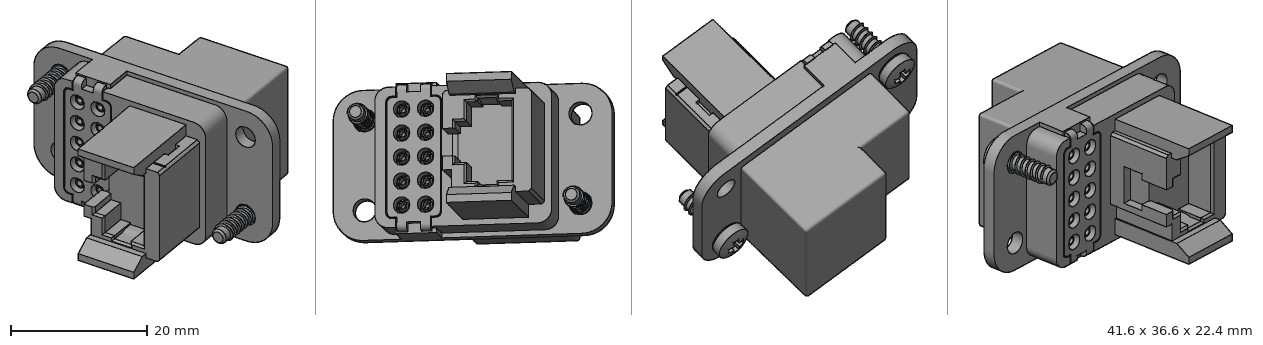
import cadquery as cq
import math


FLANGE_LENGTH = 41.6
FLANGE_HEIGHT = 22.4
FLANGE_THICKNESS = 2.0
FLANGE_RADIUS = 4.5
HOLE_RADIUS = 1.7
HOLE_X = 16.1
HOLE_Z = 6.7

REAR_LEFT = -12.02
REAR_STEP = -2.6
REAR_RIGHT = 13.2
REAR_LOW = 10.85
REAR_HIGH = 16.6
REAR_HEIGHT = 18.9
REAR_DRAFT = 0.5
REAR_EDGE = 0.45

BLOCK_LEFT = -13.5
BLOCK_RIGHT = 12.85
BLOCK_HEIGHT = 20.95
BLOCK_DEPTH = 5.8
BLOCK_RADIUS = 2.05

BRIDGE_LEFT = -10.6
BRIDGE_RIGHT = -4.58
BRIDGE_DEPTH = 4.5
LATCH_LEFT = -10.45
LATCH_RIGHT = -5.08
LATCH_FLOOR_Z = 9.7
LATCH_TOP_Z = 10.95
LATCH_ARM_WIDTH = 1.5
LATCH_ROUND = 0.9

INSERT_LEFT = -11.9
INSERT_RIGHT = -3.58
INSERT_HEIGHT = 18.2
INSERT_RADIUS = 0.9
GROOVE_WIDTH = 0.15
GROOVE_DEPTH = 0.4

CONTACT_PITCH = 3.58
CONTACT_ROWS = 5
CONTACT_COLUMNS = 2
CONTACT_BORE_RADIUS = 1.2
CONTACT_BORE_DEPTH = 2.5
SOCKET_OUTER_RADIUS = 0.87
SOCKET_RIM_RADIUS = 0.65
SOCKET_INNER_RADIUS = 0.45
SOCKET_RECESS = 0.62

JACK_LEFT = -1.4
JACK_RIGHT = 11.8
JACK_TOP = 7.7
JACK_STEP_X = -0.12
JACK_STEP_Z = -4.1
JACK_FRONT = -16.65
JACK_CHAMFER = 0.4

CAVITY_KEY_LEFT = 0.05
CAVITY_LEFT = 1.75
CAVITY_RIGHT = 9.2
CAVITY_HALF_HEIGHT = 6.3
CAVITY_KEY_HALF_HEIGHT = 3.4
NOTCH_LEFT = 3.4
NOTCH_RIGHT = 6.95
NOTCH_HALF_HEIGHT = 6.82
CAVITY_FLOOR = -12.02
CAVITY_BEVEL = 0.35

LEDGE_Z = 6.25
LEDGE_BACK = -13.3
LEDGE_FRONT = -14.35

WINDOW_BACK = -8.4
WINDOW_STEP = -11.85
WINDOW_HEIGHT = 6.1
WINDOW_SLOT_HEIGHT = 4.1

POCKET_RIGHT = 10.15
POCKET_BACK = -8.7
POCKET_FRONT = -11.7
SEAM_Y = -14.7
SEAM_WIDTH = 0.15
SEAM_DEPTH = 0.12

TAB_LEFT = -0.37
TAB_RIGHT = 9.45
TAB_INNER_Z = 6.95
TAB_OUTER_Z = 9.6
TAB_FRONT = -20.0
TAB_TIP_THICKNESS = 1.15
TAB_BEVEL_START = -17.7
TAB_SIDE_DRAFT = 0.12

HEAD_RADIUS = 2.8
HEAD_CYLINDER = 1.7
HEAD_HEIGHT = 2.45
HEAD_BOTTOM_BEVEL = 0.12
DRIVE_LENGTH = 2.83
DRIVE_WIDTH = 1.0
DRIVE_DEPTH = 1.25
CORE_RADIUS = 1.2
SCREW_TIP = -7.5
TIP_BEVEL = 0.35
THREAD_RADIUS = 1.5
THREAD_PITCH = 1.0
THREAD_ROOT_WIDTH = 0.4
THREAD_OVERLAP = 0.1
THREAD_START = -6.25
THREAD_TURNS = 7.5


def front_plane(y):
    """Sketch plane facing -Y: sketch x is X, sketch y is Z."""
    return cq.Workplane("XZ", origin=(0, y, 0))


def box(x_range, y_range, z_range):
    """Box spanning three (low, high) ranges."""
    lows, highs = zip(x_range, y_range, z_range)
    sizes = [high - low for low, high in zip(lows, highs)]
    return cq.Workplane("XY").box(*sizes, centered=False).translate(lows)


def mirrored(shape):
    """The shape together with its mirror image about Z = 0."""
    return shape.union(shape.mirror("XY"))


def flange():
    plate = front_plane(FLANGE_THICKNESS).rect(FLANGE_LENGTH, FLANGE_HEIGHT).extrude(FLANGE_THICKNESS)
    plate = plate.edges("|Y").fillet(FLANGE_RADIUS)
    holes = (
        front_plane(FLANGE_THICKNESS)
        .rect(2 * HOLE_X, 2 * HOLE_Z, forConstruction=True)
        .vertices()
        .circle(HOLE_RADIUS)
        .extrude(FLANGE_THICKNESS)
    )
    return plate.cut(holes)


def rear_block(left, right, back):
    """Drafted block behind the flange, rounded on every edge except those of its base."""
    plane = cq.Workplane("ZX", origin=(0, FLANGE_THICKNESS, 0)).center(0, (left + right) / 2)
    block = plane.rect(REAR_HEIGHT, right - left).extrude(back - FLANGE_THICKNESS, taper=REAR_DRAFT)
    return block.edges("not <Y").fillet(REAR_EDGE)


def rear_body():
    tall = rear_block(REAR_STEP, REAR_RIGHT, REAR_HIGH)
    low_end = (REAR_STEP + REAR_RIGHT) / 2
    low = rear_block(REAR_LEFT, low_end, REAR_LOW)
    return tall.union(low)


def front_block():
    width = BLOCK_RIGHT - BLOCK_LEFT
    middle = (BLOCK_LEFT + BLOCK_RIGHT) / 2
    block = front_plane(0).center(middle, 0).rect(width, BLOCK_HEIGHT).extrude(BLOCK_DEPTH)
    return block.edges("|Y").fillet(BLOCK_RADIUS)


def bridges():
    bridge = box(
        (BRIDGE_LEFT, BRIDGE_RIGHT),
        (-BRIDGE_DEPTH, 0),
        (LATCH_FLOOR_Z, FLANGE_HEIGHT / 2),
    )
    return mirrored(bridge)


def latch_recesses():
    recess = box(
        (LATCH_LEFT, LATCH_RIGHT),
        (-BLOCK_DEPTH, -BRIDGE_DEPTH),
        (LATCH_FLOOR_Z, FLANGE_HEIGHT / 2),
    )
    return mirrored(recess)


def latch_arms():
    first = LATCH_LEFT + GROOVE_WIDTH
    second = LATCH_RIGHT - GROOVE_WIDTH - LATCH_ARM_WIDTH
    arms = cq.Workplane("XY")
    for left in (first, second):
        arm = box(
            (left, left + LATCH_ARM_WIDTH),
            (-BLOCK_DEPTH, -BRIDGE_DEPTH),
            (LATCH_FLOOR_Z, LATCH_TOP_Z),
        )
        arms = arms.add(arm.edges("<Y and >Z").fillet(LATCH_ROUND))
    return mirrored(arms.combine())


def insert_shape(inset):
    """Insert body with a neck reaching both edges of the block, shrunk sideways by inset."""
    middle = (INSERT_LEFT + INSERT_RIGHT) / 2
    width = INSERT_RIGHT - INSERT_LEFT - 2 * inset
    body = front_plane(-BLOCK_DEPTH + GROOVE_DEPTH).center(middle, 0)
    body = body.rect(width, INSERT_HEIGHT - 2 * inset).extrude(GROOVE_DEPTH)
    body = body.edges("|Y").fillet(INSERT_RADIUS - inset)
    neck = box(
        (LATCH_LEFT + inset, LATCH_RIGHT - inset),
        (-BLOCK_DEPTH, -BLOCK_DEPTH + GROOVE_DEPTH),
        (-BLOCK_HEIGHT / 2, BLOCK_HEIGHT / 2),
    )
    return body.union(neck)


def insert_groove():
    return insert_shape(0).cut(insert_shape(GROOVE_WIDTH))


def contact_cutter():
    """Bore around a recessed hollow socket with a bevelled rim, axis along +Y from the origin."""
    rim_bevel = SOCKET_OUTER_RADIUS - SOCKET_RIM_RADIUS
    profile = [
        (0, 0),
        (CONTACT_BORE_RADIUS, 0),
        (CONTACT_BORE_RADIUS, CONTACT_BORE_DEPTH),
        (SOCKET_OUTER_RADIUS, CONTACT_BORE_DEPTH),
        (SOCKET_OUTER_RADIUS, SOCKET_RECESS + rim_bevel),
        (SOCKET_RIM_RADIUS, SOCKET_RECESS),
        (SOCKET_INNER_RADIUS, SOCKET_RECESS),
        (SOCKET_INNER_RADIUS, CONTACT_BORE_DEPTH),
        (0, CONTACT_BORE_DEPTH),
    ]
    return cq.Workplane("XY").polyline(profile).close().revolve(360, (0, 0), (0, 1))


def contact_cutters():
    middle = (INSERT_LEFT + INSERT_RIGHT) / 2
    cutter = contact_cutter()
    cutters = cq.Workplane("XY")
    for column in range(CONTACT_COLUMNS):
        x = middle + (column - (CONTACT_COLUMNS - 1) / 2) * CONTACT_PITCH
        for row in range(CONTACT_ROWS):
            z = (row - (CONTACT_ROWS - 1) / 2) * CONTACT_PITCH
            cutters = cutters.add(cutter.translate((x, -BLOCK_DEPTH, z)))
    return cutters.combine()


def jack_housing():
    outline = [
        (JACK_LEFT, JACK_TOP),
        (JACK_RIGHT, JACK_TOP),
        (JACK_RIGHT, -JACK_TOP),
        (JACK_STEP_X, -JACK_TOP),
        (JACK_STEP_X, JACK_STEP_Z),
        (JACK_LEFT, JACK_STEP_Z),
    ]
    housing = front_plane(-BLOCK_DEPTH).polyline(outline).close().extrude(-BLOCK_DEPTH - JACK_FRONT)
    return housing.edges("|Y and (>Z or >X)").chamfer(JACK_CHAMFER)


def cavity_outline(inset):
    """Closed outline of the jack cavity, moved inwards from the rim by inset."""
    top = CAVITY_HALF_HEIGHT - inset
    notch = NOTCH_HALF_HEIGHT - inset
    key = CAVITY_KEY_HALF_HEIGHT - inset
    upper = [
        (CAVITY_KEY_LEFT + inset, key),
        (CAVITY_LEFT + inset, key),
        (CAVITY_LEFT + inset, top),
        (NOTCH_LEFT + inset, top),
        (NOTCH_LEFT + inset, notch),
        (NOTCH_RIGHT - inset, notch),
        (NOTCH_RIGHT - inset, top),
        (CAVITY_RIGHT - inset, top),
    ]
    lower = [(x, -z) for x, z in reversed(upper)]
    return upper + lower


def jack_cavity():
    bevel_end = JACK_FRONT + CAVITY_BEVEL
    deep = front_plane(CAVITY_FLOOR).polyline(cavity_outline(CAVITY_BEVEL)).close()
    deep = deep.extrude(CAVITY_FLOOR - bevel_end)
    rim = front_plane(bevel_end).polyline(cavity_outline(CAVITY_BEVEL)).close()
    rim = rim.workplane(offset=CAVITY_BEVEL).polyline(cavity_outline(0)).close().loft(ruled=True)
    return deep.union(rim)


def notch_ledges():
    root = NOTCH_HALF_HEIGHT - CAVITY_BEVEL
    outline = [
        (LEDGE_FRONT, root),
        (LEDGE_BACK, LEDGE_Z),
        (CAVITY_FLOOR, LEDGE_Z),
        (CAVITY_FLOOR, root),
    ]
    left = NOTCH_LEFT + CAVITY_BEVEL
    width = NOTCH_RIGHT - NOTCH_LEFT - 2 * CAVITY_BEVEL
    ledge = cq.Workplane("YZ", origin=(left, 0, 0)).polyline(outline).close().extrude(width)
    return mirrored(ledge)


def jack_window():
    slot_half = WINDOW_SLOT_HEIGHT / 2
    wide = box(
        (JACK_LEFT, CAVITY_KEY_LEFT),
        (WINDOW_STEP, WINDOW_BACK),
        (-WINDOW_HEIGHT / 2, WINDOW_HEIGHT / 2),
    )
    slot = box((JACK_LEFT, CAVITY_KEY_LEFT), (JACK_FRONT, WINDOW_STEP), (-slot_half, slot_half))
    lip = box(
        (CAVITY_KEY_LEFT, CAVITY_KEY_LEFT + CAVITY_BEVEL),
        (JACK_FRONT, CAVITY_FLOOR),
        (-slot_half, slot_half),
    )
    return wide.union(slot).union(lip)


def jack_top_cuts():
    pocket = box((TAB_RIGHT, POCKET_RIGHT), (POCKET_FRONT, POCKET_BACK), (TAB_INNER_Z, JACK_TOP))
    seam = box(
        (TAB_RIGHT, JACK_RIGHT),
        (SEAM_Y, SEAM_Y + SEAM_WIDTH),
        (JACK_TOP - SEAM_DEPTH, JACK_TOP),
    )
    return pocket.union(seam)


def guide_tabs():
    outline = [
        (-BLOCK_DEPTH, TAB_INNER_Z),
        (-BLOCK_DEPTH, TAB_OUTER_Z),
        (TAB_FRONT, TAB_OUTER_Z),
        (TAB_FRONT, TAB_OUTER_Z - TAB_TIP_THICKNESS),
        (TAB_BEVEL_START, TAB_INNER_Z),
    ]
    tab = cq.Workplane("YZ", origin=(TAB_LEFT, 0, 0)).polyline(outline).close()
    tab = tab.extrude(TAB_RIGHT - TAB_LEFT)
    side_draft = (
        cq.Workplane("XY", origin=(0, 0, TAB_INNER_Z))
        .polyline(
            [
                (TAB_LEFT, -BLOCK_DEPTH),
                (TAB_LEFT, TAB_FRONT),
                (TAB_LEFT + TAB_SIDE_DRAFT, TAB_FRONT),
            ]
        )
        .close()
        .extrude(TAB_OUTER_Z - TAB_INNER_Z)
    )
    return mirrored(tab.cut(side_draft))


def screw_body():
    """Domed head and plain core, turned about the Y axis."""
    head_base = FLANGE_THICKNESS
    dome_edge = head_base + HEAD_CYLINDER
    dome_top = head_base + HEAD_HEIGHT
    rise = dome_top - dome_edge
    dome_radius = (HEAD_RADIUS**2 + rise**2) / (2 * rise)
    mid_x = HEAD_RADIUS / 2
    mid_y = dome_top - dome_radius + math.sqrt(dome_radius**2 - mid_x**2)
    profile = (
        cq.Workplane("XY")
        .moveTo(0, SCREW_TIP)
        .lineTo(CORE_RADIUS - TIP_BEVEL, SCREW_TIP)
        .lineTo(CORE_RADIUS, SCREW_TIP + TIP_BEVEL)
        .lineTo(CORE_RADIUS, head_base)
        .lineTo(HEAD_RADIUS - HEAD_BOTTOM_BEVEL, head_base)
        .lineTo(HEAD_RADIUS, head_base + 2 * HEAD_BOTTOM_BEVEL)
        .lineTo(HEAD_RADIUS, dome_edge)
        .threePointArc((mid_x, mid_y), (0, dome_top))
        .close()
    )
    return profile.revolve(360, (0, 0), (0, 1))


def drive_recess():
    plane = front_plane(FLANGE_THICKNESS + HEAD_HEIGHT)
    arm = plane.rect(DRIVE_LENGTH, DRIVE_WIDTH).extrude(DRIVE_DEPTH)
    return arm.union(plane.rect(DRIVE_WIDTH, DRIVE_LENGTH).extrude(DRIVE_DEPTH))


def screw_thread():
    """Right-handed V thread wound about Z, then turned to lie along Y."""
    root = CORE_RADIUS - THREAD_OVERLAP
    helix = cq.Wire.makeHelix(THREAD_PITCH, THREAD_PITCH * THREAD_TURNS, root)
    profile = [
        (root, -THREAD_ROOT_WIDTH / 2),
        (THREAD_RADIUS, 0),
        (root, THREAD_ROOT_WIDTH / 2),
    ]
    thread = cq.Workplane("XZ").polyline(profile).close().sweep(cq.Workplane(helix), isFrenet=True)
    thread = thread.rotate((0, 0, 0), (0, 0, 1), 180)
    return thread.rotate((0, 0, 0), (1, 0, 0), -90).translate((0, THREAD_START, 0))


def screw():
    return screw_body().union(screw_thread()).cut(drive_recess())


def build():
    part = flange().union(rear_body()).union(front_block()).union(bridges())
    part = part.cut(latch_recesses()).cut(insert_groove()).union(latch_arms())
    part = part.cut(contact_cutters())
    cavity = jack_cavity().cut(notch_ledges())
    jack = jack_housing().cut(cavity).cut(jack_window()).cut(jack_top_cuts())
    part = part.union(jack).union(guide_tabs())
    fastener = screw()
    for side in (-1, 1):
        part = part.union(fastener.translate((side * HOLE_X, 0, -side * HOLE_Z)))
    return part


result = build()